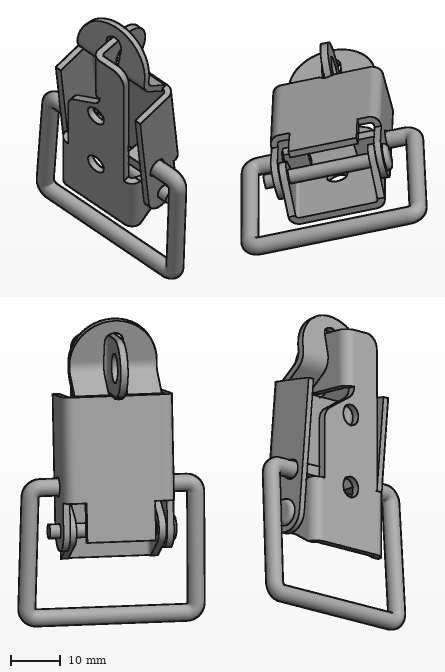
import cadquery as cq
import math


PIVOT_Y = 7.35
PIVOT_Z = 19.95
PIN_RADIUS = 1.45

LEVER_TILT = 5.5
LEVER_SHEET = 1.4
LEVER_HALF_WIDTH = 11.4
LEVER_BEND = 2.15
LEVER_EYE_RADIUS = 4.1
LEVER_BACK = 6.7
LEVER_TOP = 27.45
CHANNEL_BOTTOM = 5.9
TAB_BOTTOM = -2.1
TAB_HALF_WIDTH = 7.05

TONGUE_HALF_WIDTH = 9.0
TONGUE_SLOPE = 45
TONGUE_SLOPE_LENGTH = 5.2
TONGUE_FOOT_Z = 26.7
TONGUE_BEND = 4.15
TONGUE_TIP_TILT = 17
TONGUE_TIP_HEIGHT = 8.75
SLOT_RADIUS = 1.95
SLOT_TOP_MARGIN = 2.65
SLOT_FOOT_OVERRUN = 0.95

BASE_SHEET = 1.5
BASE_BEND = 2.2
BASE_HALF_WIDTH = LEVER_HALF_WIDTH - LEVER_SHEET
PLATE_HALF_WIDTH = 7.5
BASE_BOTTOM = 13.3
FLANGE_TOP = 2 * PIVOT_Z - BASE_BOTTOM
FLANGE_EYE_RADIUS = 3.15
SHOULDER_Z = 40.65
SHOULDER_SLOPE = 30
PLATE_ROUND = 3.0
SCREW_HOLE_RADIUS = 2.15
SCREW_HOLE_HEIGHTS = (26.05, 41.1)
EAR_LEFT = -1.2
EAR_Y = 8.8
EAR_Z = 53.1
EAR_RADIUS = 5.9
EAR_HOLE_RADIUS = 2.95

HEAD_RADIUS = 2.75
HEAD_HEIGHT = 1.0
HEAD_ROUND = 0.95
PIN_END_X = 13.6

WIRE_RADIUS = 1.75
BAIL_Y = 5.7
BAIL_Z = 28.7
BAIL_TILT = 3.2
BAIL_LENGTH = (BAIL_Z - WIRE_RADIUS) / math.cos(math.radians(BAIL_TILT))
BAIL_TOP_HALF_WIDTH = 17.05
BAIL_BOTTOM_HALF_WIDTH = 17.5
BAIL_BEND = 2.0
BAIL_HOLE_RADIUS = 2.0
FLAT_OUTER_X = 9.75
FLAT_INNER_X = 4.8
FLAT_WIDTH = 4.5
FLAT_THICKNESS = 2.2


def rod_along_x(radius, y, z, x_start, x_end):
    """Round bar parallel to X."""
    return cq.Workplane("YZ", origin=(x_start, y, z)).circle(radius).extrude(x_end - x_start)


def bent_channel(half_width, web_y, edge_y, sheet, bend, z_low, z_high):
    """U of bent sheet along Z: the web's outer face lies on web_y, the free edges on edge_y."""
    inward = math.copysign(1, edge_y - web_y)
    web_side = "<Y" if inward > 0 else ">Y"

    def rounded_block(inset):
        web_face = web_y + inward * inset
        return (
            cq.Workplane("XY", origin=(0, (web_face + edge_y) / 2, z_low))
            .rect(2 * (half_width - inset), abs(edge_y - web_face))
            .extrude(z_high - z_low)
            .edges("|Z")
            .edges(web_side)
            .fillet(bend - inset)
        )

    return rounded_block(0).cut(rounded_block(sheet))


def base_plate():
    slope = math.tan(math.radians(SHOULDER_SLOPE))
    neck_x = EAR_LEFT + BASE_BEND
    neck_z = SHOULDER_Z + (neck_x + PLATE_HALF_WIDTH) * slope
    top = EAR_Z + EAR_RADIUS
    plate = (
        cq.Workplane("XZ")
        .moveTo(-PLATE_HALF_WIDTH, BASE_BOTTOM)
        .lineTo(PLATE_HALF_WIDTH, BASE_BOTTOM)
        .lineTo(PLATE_HALF_WIDTH, top)
        .lineTo(neck_x, top)
        .lineTo(neck_x, neck_z)
        .lineTo(-PLATE_HALF_WIDTH, SHOULDER_Z)
        .close()
        .extrude(-BASE_SHEET)
    )
    middle = BASE_SHEET / 2
    plate = plate.edges(cq.NearestToPointSelector((PLATE_HALF_WIDTH, middle, top))).fillet(PLATE_ROUND)
    for x, z in ((neck_x, neck_z), (-PLATE_HALF_WIDTH, SHOULDER_Z)):
        plate = plate.edges(cq.NearestToPointSelector((x, middle, z))).fillet(PLATE_ROUND)
    return plate


def base_flanges():
    """Bent-up sides that narrow along tangents to a round eye about the pivot."""
    depth = PIVOT_Y + FLANGE_EYE_RADIUS
    channel = bent_channel(BASE_HALF_WIDTH, 0, depth, BASE_SHEET, BASE_BEND, BASE_BOTTOM, FLANGE_TOP)
    run = PIVOT_Y - BASE_BEND
    rise = FLANGE_TOP - PIVOT_Z
    tangent = math.atan2(rise, run) - math.asin(FLANGE_EYE_RADIUS / math.hypot(run, rise))
    tangent_y = PIVOT_Y + FLANGE_EYE_RADIUS * math.sin(tangent)
    tangent_z = FLANGE_EYE_RADIUS * math.cos(tangent)
    side = (
        cq.Workplane("YZ", origin=(-BASE_HALF_WIDTH, 0, PIVOT_Z))
        .moveTo(0, -rise)
        .lineTo(BASE_BEND, -rise)
        .lineTo(tangent_y, -tangent_z)
        .threePointArc((depth, 0), (tangent_y, tangent_z))
        .lineTo(BASE_BEND, rise)
        .lineTo(0, rise)
        .close()
        .extrude(2 * BASE_HALF_WIDTH)
    )
    return channel.intersect(side)


def hasp_ear():
    """Eye that stands back from the plate on a bend along its left edge."""
    bottom = EAR_Z - EAR_RADIUS
    height = 2 * EAR_RADIUS
    inner_bend = BASE_BEND - BASE_SHEET
    bend_x = EAR_LEFT + BASE_BEND
    ring = (
        cq.Workplane("XY", origin=(bend_x, BASE_BEND, bottom))
        .circle(BASE_BEND)
        .circle(inner_bend)
        .extrude(height)
    )
    corner = (
        cq.Workplane("XY")
        .box(BASE_BEND, BASE_BEND, height, centered=False)
        .translate((EAR_LEFT, 0, bottom))
    )
    bend = ring.intersect(corner)
    web = (
        cq.Workplane("XY")
        .box(BASE_SHEET, EAR_Y - BASE_BEND, height, centered=False)
        .translate((EAR_LEFT, BASE_BEND, bottom))
    )
    eye = rod_along_x(EAR_RADIUS, EAR_Y, EAR_Z, EAR_LEFT, EAR_LEFT + BASE_SHEET)
    hole = rod_along_x(EAR_HOLE_RADIUS, EAR_Y, EAR_Z, EAR_LEFT, EAR_LEFT + BASE_SHEET)
    return bend.union(web).union(eye).cut(hole)


def make_base():
    base = base_plate().union(base_flanges()).union(hasp_ear())
    for z in SCREW_HOLE_HEIGHTS:
        hole = cq.Workplane("XZ", origin=(0, 0, z)).circle(SCREW_HOLE_RADIUS).extrude(-BASE_SHEET)
        base = base.cut(hole)
    return base.cut(rod_along_x(PIN_RADIUS, PIVOT_Y, PIVOT_Z, -BASE_HALF_WIDTH, BASE_HALF_WIDTH))


def lever_channel():
    channel = bent_channel(
        LEVER_HALF_WIDTH, LEVER_BACK, -LEVER_EYE_RADIUS, LEVER_SHEET, LEVER_BEND, CHANNEL_BOTTOM, LEVER_TOP
    )
    for x in (-LEVER_HALF_WIDTH, LEVER_HALF_WIDTH - LEVER_SHEET):
        eye = (
            cq.Workplane("YZ", origin=(x, 0, 0))
            .moveTo(-LEVER_EYE_RADIUS, CHANNEL_BOTTOM)
            .lineTo(-LEVER_EYE_RADIUS, 0)
            .threePointArc((0, -LEVER_EYE_RADIUS), (LEVER_EYE_RADIUS, 0))
            .lineTo(LEVER_EYE_RADIUS, CHANNEL_BOTTOM)
            .close()
            .extrude(LEVER_SHEET)
        )
        channel = channel.union(eye)
    tab = (
        cq.Workplane("XY")
        .box(2 * TAB_HALF_WIDTH, LEVER_SHEET, CHANNEL_BOTTOM - TAB_BOTTOM, centered=(True, False, False))
        .translate((0, LEVER_BACK - LEVER_SHEET, TAB_BOTTOM))
    )
    return channel.union(tab)


def lever_tongue():
    """Tongue that slopes forward, bends back and ends in a round tip, and the slot to cut in it."""
    slope = math.radians(TONGUE_SLOPE)
    tip_tilt = math.radians(TONGUE_TIP_TILT)
    inner_bend = TONGUE_BEND - LEVER_SHEET
    bend_y = (LEVER_BACK - LEVER_SHEET - TONGUE_SLOPE_LENGTH * math.sin(slope)
              + TONGUE_BEND * math.cos(slope))
    bend_z = (TONGUE_FOOT_Z + TONGUE_SLOPE_LENGTH * math.cos(slope)
              + TONGUE_BEND * math.sin(slope))

    def bend_point(radius, angle, along=0):
        """Point at an angle above -Y about the bend, moved along the tangent there."""
        return (
            bend_y - radius * math.cos(angle) + along * math.sin(angle),
            bend_z + radius * math.sin(angle) + along * math.cos(angle),
        )

    middle = (tip_tilt - slope) / 2
    sheet = (
        cq.Workplane("YZ", origin=(-TONGUE_HALF_WIDTH, 0, 0))
        .moveTo(*bend_point(TONGUE_BEND, -slope, -TONGUE_SLOPE_LENGTH))
        .lineTo(*bend_point(TONGUE_BEND, -slope))
        .threePointArc(bend_point(TONGUE_BEND, middle), bend_point(TONGUE_BEND, tip_tilt))
        .lineTo(*bend_point(inner_bend, tip_tilt))
        .threePointArc(bend_point(inner_bend, middle), bend_point(inner_bend, -slope))
        .lineTo(*bend_point(inner_bend, -slope, -TONGUE_SLOPE_LENGTH))
        .close()
        .extrude(2 * TONGUE_HALF_WIDTH)
    )

    def across_sheet(angle, along):
        """Workplane on the front of the sheet, facing through it."""
        y, z = bend_point(TONGUE_BEND, angle, along)
        return cq.Workplane(cq.Plane((0, y, z), (-1, 0, 0), (0, math.cos(angle), -math.sin(angle))))

    tip = (
        across_sheet(tip_tilt, 0)
        .moveTo(-TONGUE_HALF_WIDTH, 0)
        .threePointArc((0, TONGUE_TIP_HEIGHT), (TONGUE_HALF_WIDTH, 0))
        .close()
        .extrude(LEVER_SHEET)
    )

    slot_low = SLOT_RADIUS - SLOT_FOOT_OVERRUN - TONGUE_SLOPE_LENGTH
    slot_high = TONGUE_TIP_HEIGHT - SLOT_TOP_MARGIN - SLOT_RADIUS
    slot = (
        cq.Workplane("YZ", origin=(-SLOT_RADIUS, 0, 0))
        .moveTo(*bend_point(TONGUE_BEND, -slope, slot_low))
        .lineTo(*bend_point(2 * TONGUE_BEND, middle))
        .lineTo(*bend_point(TONGUE_BEND, tip_tilt, slot_high))
        .lineTo(*bend_point(inner_bend, tip_tilt, slot_high))
        .lineTo(bend_y, bend_z)
        .lineTo(*bend_point(inner_bend, -slope, slot_low))
        .close()
        .extrude(2 * SLOT_RADIUS)
    )
    for angle, along in ((-slope, slot_low), (tip_tilt, slot_high)):
        slot = slot.union(across_sheet(angle, along).circle(SLOT_RADIUS).extrude(2 * LEVER_SHEET))
    return sheet.union(tip), slot


def make_lever():
    tongue, slot = lever_tongue()
    lever = (
        lever_channel()
        .union(tongue)
        .cut(slot)
        .rotate((0, 0, 0), (1, 0, 0), LEVER_TILT)
        .translate((0, PIVOT_Y, PIVOT_Z))
    )
    for radius, y, z in ((PIN_RADIUS, PIVOT_Y, PIVOT_Z), (BAIL_HOLE_RADIUS, BAIL_Y, BAIL_Z)):
        lever = lever.cut(rod_along_x(radius, y, z, -LEVER_HALF_WIDTH, LEVER_HALF_WIDTH))
    return lever


def make_rivet():
    pin = rod_along_x(PIN_RADIUS, PIVOT_Y, PIVOT_Z, -LEVER_HALF_WIDTH, PIN_END_X)
    head_x = -LEVER_HALF_WIDTH - HEAD_HEIGHT
    head = rod_along_x(HEAD_RADIUS, PIVOT_Y, PIVOT_Z, head_x, -LEVER_HALF_WIDTH)
    return pin.union(head.edges("<X").fillet(HEAD_ROUND))


def make_bail():
    corners = [
        (FLAT_OUTER_X, 0),
        (BAIL_TOP_HALF_WIDTH, 0),
        (BAIL_BOTTOM_HALF_WIDTH, -BAIL_LENGTH),
        (-BAIL_BOTTOM_HALF_WIDTH, -BAIL_LENGTH),
        (-BAIL_TOP_HALF_WIDTH, 0),
        (-FLAT_OUTER_X, 0),
    ]
    sharp_path = cq.Wire.makePolygon([cq.Vector(x, 0, z) for x, z in corners])
    path = sharp_path.fillet(BAIL_BEND)
    bail = cq.Workplane("YZ", origin=(FLAT_OUTER_X, 0, 0)).circle(WIRE_RADIUS).sweep(cq.Workplane(path))
    flat_length = FLAT_OUTER_X - FLAT_INNER_X
    for side in (-1, 1):
        flat = cq.Workplane("XY").box(flat_length, FLAT_WIDTH, FLAT_THICKNESS)
        bail = bail.union(flat.translate((side * (FLAT_OUTER_X + FLAT_INNER_X) / 2, 0, 0)))
    return bail.rotate((0, 0, 0), (1, 0, 0), -BAIL_TILT).translate((0, BAIL_Y, BAIL_Z))


base = make_base()
lever = make_lever()
rivet = make_rivet()
bail = make_bail()

result = cq.Compound.makeCompound([base.val(), lever.val(), rivet.val(), bail.val()])